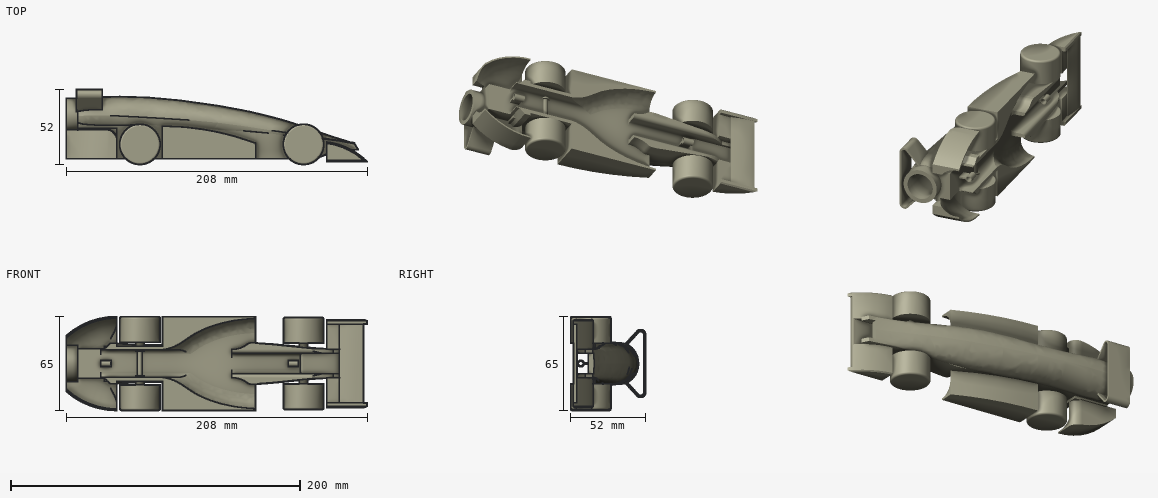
import cadquery as cq
import math


HALF_WIDTH = 32.5
NOSE_WING_TIP_X = 208.03
REAR_WING_TOP_Y = 47.99

WHEEL_RADIUS = 14.0
WHEEL_WIDTH = 17.8
WHEEL_ROUND = 1.5
AXLE_Y = 10.0
REAR_AXLE_X = 51.0
FRONT_AXLE_X = 164.1
REAR_WHEEL_OUTER_Z = HALF_WIDTH
FRONT_WHEEL_OUTER_Z = 31.9
WHEEL_STATIONS = ((REAR_AXLE_X, REAR_WHEEL_OUTER_Z), (FRONT_AXLE_X, FRONT_WHEEL_OUTER_Z))
AXLE_DIAMETER = 3.5
AXLE_SHOULDER_DIAMETER = 6.0
SHOULDER_INNER_Z = 8.6

CHAMBER_DIAMETER = 19.0
CHAMBER_DEPTH = 50.0
CHAMBER_Y = 29.4
TUBE_RADIUS = 12.5
TUBE_LENGTH = 8.0

CEILING_Y = 10.3
CHANNEL_START_X = 24.0
CHANNEL_END_X = 87.0
CHANNEL_HALF_WIDTH = 9.6
CHANNEL_ROUND = 3.1

TAIL_HALF_WIDTH = 10.2
WAIST_HALF_WIDTH = 12.1
SHOULDER_HALF_WIDTH = 14.3
SHOULDER_X = 129.0
NOSE_TAPER_POINT = (171.0, 10.3)
NOSE_TAPER_END_X = 188.0
NOSE_HALF_WIDTH = 9.8
NOSE_TOP_X = 199.0
NOSE_TIP_X = 202.0
NOSE_TIP_TOP_Y = 11.2
NOSE_TIP_BOTTOM_Y = 6.2
BEAM_TAIL_TOP_Y = 26.2
BEAM_TOP_POINTS = ((67.0, 23.8), (131.0, 18.6), (178.0, 14.0))

POD_START_X = 66.5
POD_END_X = 131.0
POD_TOP_Y = 22.6
POD_END_TOP_Y = 10.8
TUNNEL_COVE = 10.0
TUNNEL_END_HALF_WIDTH = 31.2
TUNNEL_FLARE_POINTS = ((88.0, 20.0), (106.0, 27.5))
TUNNEL_START_DIRECTION = (1, 0.1)
TUNNEL_END_DIRECTION = (1, 0.05)

KEEL_START_X = 114.6
RAIL_INNER_Z = 7.0
RAIL_COVE = 2.5
RAIL_ROUND = 2.6
KEEL_FLARE_MID = (120.0, 10.6)
KEEL_FLARE_END = (125.0, 13.2)
KEEL_RISE_X = 167.4
KEEL_RISE_RADIUS = 27.0
NOSE_STEP_X = 161.7
NOSE_CEILING_Y = 8.1
NOSE_STEP_ROUND = 2.1
NOSE_NOTCH_X = 194.0
NOSE_NOTCH_TOP_Y = 14.0

FENDER_END_X = 35.0
FENDER_START_Z = 19.2
FENDER_TOP_Y = 20.0
FENDER_WALL = 1.1
FENDER_COVE = 16.0
FENDER_CORNER = 6.5
FENDER_RIM_Y = 21.3
FENDER_RIM_Z = 13.3
FLANGE_RAMP_X = 26.5
FLANGE_STEP_X = 30.5
FLANGE_STEP_Z = 14.0

REAR_WING_X = 7.0
REAR_WING_CHORD = 18.0
REAR_WING_APEX_Z = 28.9
REAR_WING_FOOT_Y = 32.0
REAR_WING_FOOT_Z = 11.5
REAR_WING_WALL = 1.3
REAR_WING_ROUND = 3.5

NOSE_WING_X = 180.0
NOSE_WING_TOP_Y = 11.7
NOSE_WING_BOTTOM_Y = -2.0
NOSE_WING_HALF_SPAN = 30.4
NOSE_WING_ARC_MID = (196.0, 6.8)
END_PLATE_THICKNESS = 3.2
END_PLATE_CHAMFER = 0.9
UPPER_FLAP_BOTTOM_Y = 0.6
UPPER_FLAP_STEP_Y = 0.8
LOWER_FLAP_X = 188.7
LOWER_FLAP_END_X = 205.6
LOWER_FLAP_TOP_Y = 0.8
LOWER_FLAP_LEAD_Y = 0.2

GUIDE_OUTER_DIAMETER = 4.5
GUIDE_BORE_DIAMETER = 3.5
GUIDE_LENGTH = 7.2
GUIDE_Y = 3.1
GUIDE_WEB = 1.3
GUIDE_STARTS_X = (23.8, 153.4)

HULL_SECTIONS = (
    (TUBE_LENGTH, 42.3, CHAMBER_Y, 12.8),
    (45.0, 43.0, 29.2, 13.3),
    (85.0, 39.7, 26.8, 13.8),
    (125.0, 33.1, 22.3, 14.7),
    (155.0, 25.3, 17.6, 12.3),
    (180.0, 16.7, 14.0, 10.2),
    (NOSE_TOP_X, NOSE_TIP_TOP_Y, 10.5, NOSE_HALF_WIDTH),
)


def plan(y):
    """Plane at height y, drawn in X and Z; a negative extrusion goes up."""
    return cq.Workplane("XZ", origin=(0, y, 0))


def block(x0, x1, y0, y1, z0, z1):
    return cq.Workplane("XY").box(x1 - x0, y1 - y0, z1 - z0, centered=False).translate((x0, y0, z0))


def both_sides(half):
    return half.union(half.mirror("XY"))


def z_cylinder(x, diameter, z0, z1):
    return cq.Workplane("XY", origin=(x, AXLE_Y, z0)).circle(diameter / 2).extrude(z1 - z0)


def x_cylinder(x, y, diameter, length):
    return cq.Workplane("YZ", origin=(x, y, 0)).circle(diameter / 2).extrude(length)


def make_hull():
    """Streamlined shell lofted through ellipses, with the cartridge tube behind it."""
    wires = []
    for x, crown, centre, half_width in HULL_SECTIONS:
        section = cq.Workplane("YZ", origin=(x, centre, 0)).ellipse(crown - centre, half_width)
        wires.append(section.wires().val())
    hull = cq.Workplane(cq.Solid.makeLoft(wires))
    tube = x_cylinder(0, CHAMBER_Y, 2 * TUBE_RADIUS, TUBE_LENGTH)
    return hull.union(tube)


def make_beam():
    """Central beam under the hull, from the tail block to the nose tip."""
    side = (
        cq.Workplane("XY")
        .moveTo(TUBE_LENGTH, CEILING_Y)
        .lineTo(TUBE_LENGTH, BEAM_TAIL_TOP_Y)
        .spline([*BEAM_TOP_POINTS, (NOSE_TOP_X, NOSE_TIP_TOP_Y)], includeCurrent=True)
        .lineTo(NOSE_TIP_X, NOSE_TIP_BOTTOM_Y)
        .lineTo(KEEL_RISE_X, NOSE_TIP_BOTTOM_Y)
        .lineTo(KEEL_RISE_X, CEILING_Y)
        .close()
        .extrude(HALF_WIDTH, both=True)
    )
    half_outline = [
        (TUBE_LENGTH, WAIST_HALF_WIDTH),
        (POD_START_X, WAIST_HALF_WIDTH),
        (SHOULDER_X, SHOULDER_HALF_WIDTH),
        (POD_END_X, SHOULDER_HALF_WIDTH),
        NOSE_TAPER_POINT,
        (NOSE_TAPER_END_X, NOSE_HALF_WIDTH),
        (NOSE_TIP_X, NOSE_HALF_WIDTH),
    ]
    mirrored = [(x, -z) for x, z in reversed(half_outline)]
    outline = plan(NOSE_WING_BOTTOM_Y).polyline(half_outline + mirrored).close().extrude(-REAR_WING_TOP_Y)
    beam = side.intersect(outline)
    undercut = block(TUBE_LENGTH, FLANGE_RAMP_X, 0, FENDER_TOP_Y - FENDER_WALL, TAIL_HALF_WIDTH, HALF_WIDTH)
    return beam.cut(both_sides(undercut))


def make_pods():
    """Side pods with an arched top falling to a thin front edge."""
    run = POD_END_X - POD_START_X
    drop = POD_TOP_Y - POD_END_TOP_Y
    arc_radius = (run**2 + drop**2) / (2 * drop)
    mid_drop = arc_radius - math.sqrt(arc_radius**2 - (run / 2) ** 2)
    return (
        cq.Workplane("XY")
        .moveTo(POD_START_X, 0)
        .lineTo(POD_START_X, POD_TOP_Y)
        .threePointArc((POD_START_X + run / 2, POD_TOP_Y - mid_drop), (POD_END_X, POD_END_TOP_Y))
        .lineTo(POD_END_X, 0)
        .close()
        .extrude(HALF_WIDTH, both=True)
    )


def make_pod_tunnel():
    """Flared tunnel; each side wall has a quarter-round cove up to the ceiling."""
    far_z = -2 * HALF_WIDTH
    half = (
        plan(0)
        .moveTo(POD_START_X, far_z)
        .lineTo(POD_START_X, CHANNEL_HALF_WIDTH)
        .spline([*TUNNEL_FLARE_POINTS, (POD_END_X, TUNNEL_END_HALF_WIDTH)],
                tangents=[TUNNEL_START_DIRECTION, TUNNEL_END_DIRECTION], includeCurrent=True)
        .lineTo(POD_END_X, far_z)
        .close()
        .extrude(-CEILING_Y)
    )
    flare_top_edge = half.faces(">Y").edges("not #Z").edges("not |Z")
    half = flare_top_edge.fillet(TUNNEL_COVE)
    return half.intersect(half.mirror("XY"))


def make_channel():
    """Narrow channel between the rear wheels with rounded upper corners."""
    channel = block(CHANNEL_START_X, CHANNEL_END_X, 0, CEILING_Y, -CHANNEL_HALF_WIDTH, CHANNEL_HALF_WIDTH)
    return channel.edges("|X and >Y").fillet(CHANNEL_ROUND)


def make_waist_flanges():
    """Walls of the narrow channel, down to the floor, and the rim along the fender roots."""
    half = (
        plan(0)
        .moveTo(CHANNEL_START_X, 0)
        .lineTo(CHANNEL_START_X, TAIL_HALF_WIDTH)
        .lineTo(FLANGE_RAMP_X, TAIL_HALF_WIDTH)
        .lineTo(FLANGE_STEP_X, FLANGE_STEP_Z)
        .lineTo(FENDER_END_X, FLANGE_STEP_Z)
        .lineTo(FENDER_END_X, WAIST_HALF_WIDTH)
        .lineTo(POD_START_X, WAIST_HALF_WIDTH)
        .lineTo(POD_START_X, 0)
        .close()
        .extrude(-FENDER_RIM_Y)
    )
    rim = block(TUBE_LENGTH, FENDER_END_X, FENDER_TOP_Y - FENDER_WALL, FENDER_RIM_Y, 0, FENDER_RIM_Z)
    return both_sides(half.union(rim))


def make_keel():
    """Rails under the nose, rising along an arc to the nose tip."""
    rise = NOSE_TIP_BOTTOM_Y
    run = math.sqrt(2 * KEEL_RISE_RADIUS * rise - rise**2)
    side = (
        cq.Workplane("XY")
        .moveTo(KEEL_START_X, CEILING_Y)
        .lineTo(KEEL_START_X, 0)
        .lineTo(KEEL_RISE_X, 0)
        .radiusArc((KEEL_RISE_X + run, rise), -KEEL_RISE_RADIUS)
        .lineTo(KEEL_RISE_X + run, CEILING_Y)
        .close()
        .extrude(HALF_WIDTH, both=True)
    )
    plan_half = (
        plan(0)
        .moveTo(KEEL_START_X, 0)
        .lineTo(KEEL_START_X, NOSE_HALF_WIDTH)
        .threePointArc(KEEL_FLARE_MID, KEEL_FLARE_END)
        .tangentArcPoint((SHOULDER_X, SHOULDER_HALF_WIDTH), relative=False)
        .lineTo(POD_END_X, SHOULDER_HALF_WIDTH)
        .lineTo(*NOSE_TAPER_POINT)
        .lineTo(NOSE_TAPER_END_X, NOSE_HALF_WIDTH)
        .lineTo(NOSE_TAPER_END_X, 0)
        .close()
        .extrude(-CEILING_Y)
    )
    return side.intersect(both_sides(plan_half))


def make_keel_channel():
    """Slot between the rails: coved ceiling, flared lower edges, a lower nose ceiling and a tip notch."""
    half_profile = (
        cq.Workplane("YZ", origin=(KEEL_START_X, 0, 0))
        .moveTo(0, 0)
        .lineTo(0, RAIL_INNER_Z + RAIL_ROUND)
        .radiusArc((RAIL_ROUND, RAIL_INNER_Z), -RAIL_ROUND)
        .lineTo(CEILING_Y - RAIL_COVE, RAIL_INNER_Z)
        .radiusArc((CEILING_Y, RAIL_INNER_Z - RAIL_COVE), RAIL_COVE)
        .lineTo(CEILING_Y, 0)
        .close()
        .extrude(NOSE_TIP_X - KEEL_START_X)
    )
    nose_roof = block(NOSE_STEP_X, NOSE_TIP_X, NOSE_CEILING_Y, CEILING_Y, -HALF_WIDTH, HALF_WIDTH)
    nose_roof = nose_roof.edges("<X and <Y").fillet(NOSE_STEP_ROUND)
    notch = block(NOSE_NOTCH_X, NOSE_TIP_X, NOSE_TIP_BOTTOM_Y, NOSE_NOTCH_TOP_Y,
                  -RAIL_INNER_Z, RAIL_INNER_Z)
    return both_sides(half_profile).cut(nose_roof).union(notch)


def fender_blank(inset, side_round, corner):
    """Solid under the fender's plan arc, moved in by the inset, with rounded side and front top edges."""
    height = FENDER_TOP_Y - inset
    drop = HALF_WIDTH - FENDER_START_Z
    arc_radius = (FENDER_END_X**2 + drop**2) / (2 * drop)
    disc = plan(0).center(FENDER_END_X, HALF_WIDTH - arc_radius).circle(arc_radius - inset).extrude(-height)
    if side_round > 0:
        disc = disc.edges(">Y").fillet(side_round)
    limits = block(0, FENDER_END_X, 0, height, 0, HALF_WIDTH)
    return disc.intersect(limits.edges(">X and >Y").fillet(corner))


def make_fender():
    """Thin curved fender with a coved underside, clear of the tail and the tube."""
    fender = fender_blank(0, 0, FENDER_CORNER)
    cove = fender_blank(FENDER_WALL, FENDER_COVE, FENDER_CORNER - FENDER_WALL)
    tail_gap = block(0, FENDER_END_X, 0, FENDER_TOP_Y, 0, TAIL_HALF_WIDTH)
    tube_gap = block(0, TUBE_LENGTH, 0, FENDER_TOP_Y, 0, TUBE_RADIUS)
    return fender.cut(cove).cut(tail_gap).cut(tube_gap)


def make_rear_wing():
    """Flat top plate carried by two slanted legs, as one bent strip whose foot is buried in the hull."""
    loop = (
        cq.Workplane("YZ", origin=(REAR_WING_X, 0, 0))
        .polyline([
            (REAR_WING_FOOT_Y, -REAR_WING_FOOT_Z),
            (REAR_WING_TOP_Y, -REAR_WING_APEX_Z),
            (REAR_WING_TOP_Y, REAR_WING_APEX_Z),
            (REAR_WING_FOOT_Y, REAR_WING_FOOT_Z),
        ])
        .close()
        .extrude(REAR_WING_CHORD)
        .edges("|X and >Y")
        .fillet(REAR_WING_ROUND)
    )
    return loop.faces("<X or >X").shell(-REAR_WING_WALL)


def make_nose_wing_blank():
    """Block from the centre plane to the wing end, under the arc of the wing top."""
    return (
        cq.Workplane("XY")
        .moveTo(NOSE_WING_X, NOSE_WING_BOTTOM_Y)
        .lineTo(NOSE_WING_X, NOSE_WING_TOP_Y)
        .threePointArc(NOSE_WING_ARC_MID, (NOSE_WING_TIP_X, NOSE_WING_BOTTOM_Y))
        .close()
        .extrude(NOSE_WING_HALF_SPAN)
    )


def make_nose_wing_half():
    """End plate, upper flap beside the nose, and lower flap out to the centre plane."""
    plate_inner_z = NOSE_WING_HALF_SPAN - END_PLATE_THICKNESS
    blank = make_nose_wing_blank()
    plate = blank.intersect(
        block(NOSE_WING_X, NOSE_WING_TIP_X, NOSE_WING_BOTTOM_Y, NOSE_WING_TOP_Y,
              plate_inner_z, NOSE_WING_HALF_SPAN))
    plate = plate.faces(">Z").edges("not <X").chamfer(END_PLATE_CHAMFER)
    upper_side = (
        cq.Workplane("XY", origin=(0, 0, NOSE_HALF_WIDTH))
        .moveTo(NOSE_WING_X, NOSE_WING_TOP_Y)
        .lineTo(NOSE_WING_X, UPPER_FLAP_BOTTOM_Y)
        .lineTo(LOWER_FLAP_X, UPPER_FLAP_STEP_Y)
        .lineTo(LOWER_FLAP_X, LOWER_FLAP_LEAD_Y)
        .lineTo(LOWER_FLAP_END_X, LOWER_FLAP_LEAD_Y)
        .lineTo(LOWER_FLAP_END_X, NOSE_WING_TOP_Y)
        .close()
        .extrude(plate_inner_z - NOSE_HALF_WIDTH)
    )
    sag = LOWER_FLAP_LEAD_Y - NOSE_WING_BOTTOM_Y
    run = LOWER_FLAP_END_X - LOWER_FLAP_X
    lower_side = (
        cq.Workplane("XY")
        .moveTo(LOWER_FLAP_X, LOWER_FLAP_TOP_Y)
        .lineTo(LOWER_FLAP_X, LOWER_FLAP_LEAD_Y)
        .radiusArc((LOWER_FLAP_END_X, NOSE_WING_BOTTOM_Y), -(run**2 + sag**2) / (2 * sag))
        .lineTo(LOWER_FLAP_END_X, LOWER_FLAP_TOP_Y)
        .close()
        .extrude(plate_inner_z)
    )
    upper_flap = blank.intersect(upper_side)
    lower_flap = blank.intersect(lower_side)
    return plate.union(upper_flap).union(lower_flap)


def make_axles():
    """Rear axle across the channel, and a shoulder against the inner face of each wheel."""
    axles = z_cylinder(REAR_AXLE_X, AXLE_DIAMETER, -CHANNEL_HALF_WIDTH, CHANNEL_HALF_WIDTH)
    for x, wheel_outer_z in WHEEL_STATIONS:
        shoulder = z_cylinder(x, AXLE_SHOULDER_DIAMETER, SHOULDER_INNER_Z, wheel_outer_z - WHEEL_WIDTH)
        axles = axles.union(both_sides(shoulder))
    return axles


def make_guide(start_x):
    """Tether eye hung from the ceiling by a thin web."""
    eye = x_cylinder(start_x, GUIDE_Y, GUIDE_OUTER_DIAMETER, GUIDE_LENGTH)
    web = block(start_x, start_x + GUIDE_LENGTH, GUIDE_Y, CEILING_Y, -GUIDE_WEB / 2, GUIDE_WEB / 2)
    bore = x_cylinder(start_x, GUIDE_Y, GUIDE_BORE_DIAMETER, GUIDE_LENGTH)
    return eye.union(web).cut(bore)


def make_body():
    body = make_hull().union(make_beam()).union(make_pods())
    body = body.cut(make_pod_tunnel())
    body = body.union(make_waist_flanges()).union(make_keel())
    body = body.cut(make_channel()).cut(make_keel_channel())
    body = body.union(both_sides(make_fender()))
    body = body.union(make_rear_wing())
    body = body.union(both_sides(make_nose_wing_half()))
    body = body.union(make_axles())
    for start_x in GUIDE_STARTS_X:
        body = body.union(make_guide(start_x))
    return body.cut(x_cylinder(0, CHAMBER_Y, CHAMBER_DIAMETER, CHAMBER_DEPTH))


def make_wheel(x, outer_z):
    """Solid wheel with a rounded outer rim."""
    wheel = z_cylinder(x, 2 * WHEEL_RADIUS, outer_z - WHEEL_WIDTH, outer_z)
    return wheel.faces(">Z").edges().fillet(WHEEL_ROUND)


body = make_body()

wheels = []
for axle_x, outer_z in WHEEL_STATIONS:
    wheel = make_wheel(axle_x, outer_z)
    wheels.append(wheel.val())
    wheels.append(wheel.mirror("XY").val())

result = cq.Compound.makeCompound([body.val(), *wheels])